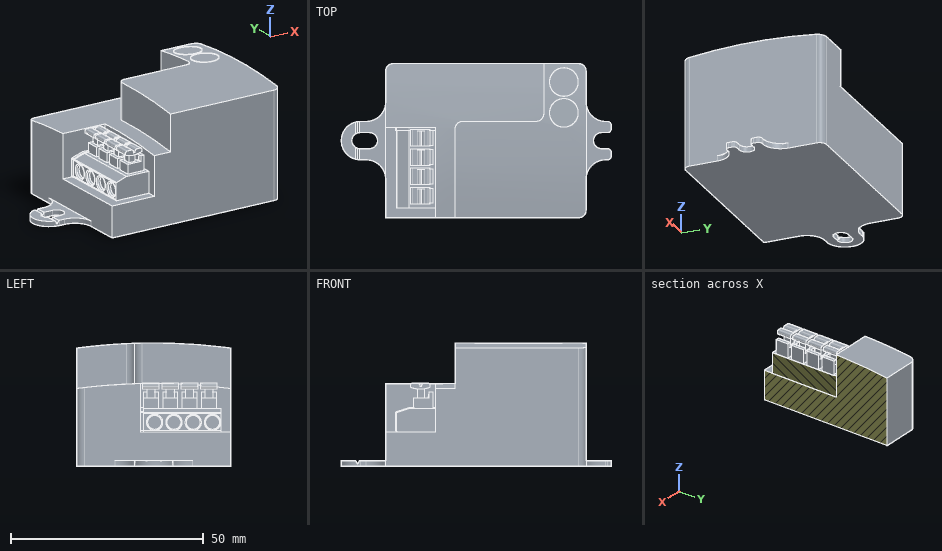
import cadquery as cq
import math


length = 52.0
width = 40.0
apex_height = 32.0
crown_radius = 150.0
corner_radius = 2.0
step_height = 10.5
step_x = 18.0
step_y = 5.0
step_back_x = 41.0
lower_apex_height = apex_height - step_height

recess_diameter = 7.43
recess_x = 46.2
recess_y = 15.2
recess_pitch = 8.0
recess_depth = 0.15
recess_cutter_height = 1.0

tab_thickness = 1.5
tab_half_width = 5.0
tab_root_radius = 5.0
left_tab_reach = 11.5
slot_width = 4.1
slot_length = 6.6
slot_tip_wall = 2.8
groove_width = 1.0
groove_depth = 0.85
groove_from_tip = 4.25
right_tab_reach = 6.5
fork_wall = 1.9
fork_tip_radius = 1.0

pocket_depth_x = 13.0
pocket_floor_z = 8.9
pocket_wall_y = 3.45

block_front_x = 2.8
block_front_height = 13.95
block_top_z = 15.0
block_slope_end_x = 6.1
block_min_y = -17.4
block_max_y = 2.65
face_chamfer = 0.2
undercut_height = 0.4
plate_overhang = 0.2

pole_count = 4
pole_pitch = 5.0
first_hole_y = -0.23
hole_z = 11.4
hole_diameter = 3.6
hole_mouth_diameter = 4.2
hole_depth = 1.0
first_button_y = 0.73

base_width = 3.85
base_start_x = 7.3
base_end_x = 12.3
base_top_z = 17.7
post_start_x = 11.3
post_top_z = 19.25
gusset_reach = 0.3
stem_width = 2.1
stem_start_x = 8.25
stem_end_x = 10.1
cap_width = 4.3
cap_start_x = 6.45
cap_end_x = 11.5
cap_top_z = 21.55
cap_side_bottom_z = 20.5
cap_belly_z = 20.0
cap_edge_radius = 0.5
cap_groove_x = 9.15
cap_groove_gap = 0.4
cap_lip_radius = 0.7
cap_groove_depth = 0.9
cap_groove_end_wall = 0.35


def box(x0, x1, y0, y1, z0, z1):
    return cq.Workplane("XY").box(x1 - x0, y1 - y0, z1 - z0, centered=False).translate((x0, y0, z0))


def crowned_block(apex):
    """Block over the whole housing length whose top is a cylinder along X."""
    half = width / 2
    edge = apex - crown_radius + math.sqrt(crown_radius**2 - half**2)
    return (
        cq.Workplane("YZ")
        .moveTo(-half, 0)
        .lineTo(half, 0)
        .lineTo(half, edge)
        .threePointArc((0, apex), (-half, edge))
        .close()
        .extrude(length)
    )


def round_corner(body, x, y):
    """Round the upright edge of a body nearest to the given plan position."""
    nearest = cq.selectors.NearestToPointSelector((x, y, apex_height / 2))
    return body.edges("|Z").edges(nearest).fillet(corner_radius)


def upper_deck_prism():
    """L-shaped plan of the upper deck."""
    half = width / 2
    plan = [(step_x, -half), (length, -half), (length, half),
            (step_back_x, half), (step_back_x, step_y), (step_x, step_y)]
    prism = cq.Workplane("XY").polyline(plan).close().extrude(apex_height)
    for x in (step_x, step_back_x):
        prism = round_corner(prism, x, step_y)
    return prism


def disc_recess(y):
    """Flat-bottomed recess, square to the crowned top at its centre."""
    tilt = math.asin(y / crown_radius)
    centre_z = apex_height - crown_radius * (1 - math.cos(tilt))
    normal = cq.Vector(0, math.sin(tilt), math.cos(tilt))
    floor = cq.Vector(recess_x, y, centre_z) - normal * recess_depth
    return cq.Solid.makeCylinder(recess_diameter / 2, recess_cutter_height, floor, normal)


def left_tab():
    """Round-ended tab with a slot and a break-off groove across it."""
    tip_centre = tab_half_width - left_tab_reach
    root = tab_half_width + tab_root_radius
    lean = tab_root_radius * math.sqrt(0.5)
    tab = (
        cq.Workplane("XY")
        .moveTo(0, -root)
        .threePointArc((lean - tab_root_radius, -root + lean), (-tab_root_radius, -tab_half_width))
        .lineTo(tip_centre, -tab_half_width)
        .threePointArc((-left_tab_reach, 0), (tip_centre, tab_half_width))
        .lineTo(-tab_root_radius, tab_half_width)
        .threePointArc((lean - tab_root_radius, root - lean), (0, root))
        .close()
        .extrude(tab_thickness)
    )
    slot_centre = -left_tab_reach + slot_tip_wall + slot_length / 2
    tab = tab.cut(
        cq.Workplane("XY").center(slot_centre, 0).slot2D(slot_length, slot_width).extrude(tab_thickness)
    )
    groove_x = -left_tab_reach + groove_from_tip
    groove = (
        cq.Workplane("XZ")
        .polyline([(groove_x - groove_width / 2, tab_thickness),
                   (groove_x, tab_thickness - groove_depth),
                   (groove_x + groove_width / 2, tab_thickness)])
        .close()
        .extrude(tab_half_width, both=True)
    )
    return tab.cut(groove)


def right_tab():
    """Forked tab whose slot is open at the tip."""
    tip = length + right_tab_reach
    root = tab_half_width + tab_root_radius
    lean = tab_root_radius * math.sqrt(0.5)
    root_end = length + tab_root_radius
    tab = (
        cq.Workplane("XY")
        .moveTo(length, -root)
        .threePointArc((root_end - lean, -root + lean), (root_end, -tab_half_width))
        .lineTo(tip, -tab_half_width)
        .lineTo(tip, tab_half_width)
        .lineTo(root_end, tab_half_width)
        .threePointArc((root_end - lean, root - lean), (length, root))
        .close()
        .extrude(tab_thickness)
    )
    slot_end = length + fork_wall + slot_width / 2
    fork = cq.Workplane("XY").center(slot_end, 0).circle(slot_width / 2).extrude(tab_thickness)
    fork = fork.union(box(slot_end, tip, -slot_width / 2, slot_width / 2, 0, tab_thickness))
    return tab.cut(fork).edges("|Z and >X").fillet(fork_tip_radius)


def make_housing():
    lower = crowned_block(lower_apex_height)
    upper = crowned_block(apex_height).intersect(upper_deck_prism())
    body = lower.union(upper)
    half = width / 2
    for x, y in ((0, half), (length, half), (length, -half)):
        body = round_corner(body, x, y)
    for y in (recess_y, recess_y - recess_pitch):
        body = body.cut(cq.Workplane(disc_recess(y)))
    body = body.cut(box(0, pocket_depth_x, -half, pocket_wall_y, pocket_floor_z, lower_apex_height))
    return body.union(left_tab()).union(right_tab())


def block_profile(overhang, y0, y1):
    """Side profile of the terminal block, grown by overhang, from y0 to y1."""
    front = block_front_x - overhang
    shoulder = block_front_height + overhang
    top = block_top_z + overhang
    return (
        cq.Workplane("XZ", origin=(0, y1, 0))
        .moveTo(front + face_chamfer, pocket_floor_z)
        .lineTo(pocket_depth_x, pocket_floor_z)
        .lineTo(pocket_depth_x, top)
        .lineTo(block_slope_end_x, top)
        .lineTo(front + face_chamfer, shoulder)
        .lineTo(front, shoulder - face_chamfer)
        .lineTo(front, pocket_floor_z + undercut_height)
        .close()
        .extrude(y1 - y0)
    )


def wire_hole(y):
    """Blind wire hole with a countersunk mouth."""
    mouth_depth = (hole_mouth_diameter - hole_diameter) / 2
    return (
        cq.Workplane("XY")
        .polyline([(0, 0), (0, hole_mouth_diameter / 2), (mouth_depth, hole_diameter / 2),
                   (hole_depth, hole_diameter / 2), (hole_depth, 0)])
        .close()
        .revolve(360, (0, 0, 0), (1, 0, 0))
        .translate((block_front_x, y, hole_z))
    )


def button_cap():
    """Cap centred on Y = 0 with a bellied underside and a grip groove."""
    middle = (cap_start_x + cap_end_x) / 2
    cap = (
        cq.Workplane("XZ", origin=(0, cap_width / 2, 0))
        .moveTo(cap_start_x, cap_top_z)
        .lineTo(cap_start_x, cap_side_bottom_z)
        .threePointArc((middle, cap_belly_z), (cap_end_x, cap_side_bottom_z))
        .lineTo(cap_end_x, cap_top_z)
        .close()
        .extrude(cap_width)
        .edges("|Y and >Z")
        .fillet(cap_edge_radius)
    )
    inner = cap_groove_gap / 2
    outer = inner + cap_lip_radius
    lip_base = cap_top_z - cap_lip_radius
    lean = cap_lip_radius * math.sqrt(0.5)
    groove_bottom = cap_top_z - cap_groove_depth
    groove = (
        cq.Workplane("XZ", origin=(cap_groove_x, cap_width / 2 - cap_groove_end_wall, 0))
        .moveTo(-inner, groove_bottom)
        .lineTo(inner, groove_bottom)
        .lineTo(inner, lip_base)
        .threePointArc((outer - lean, lip_base + lean), (outer, cap_top_z))
        .lineTo(-outer, cap_top_z)
        .threePointArc((lean - outer, lip_base + lean), (-inner, lip_base))
        .close()
        .extrude(cap_width)
    )
    return cap.cut(groove)


def push_button(y):
    """Base with a rear post, stem and cap, centred on the given Y."""
    half_base = base_width / 2
    half_stem = stem_width / 2
    base = box(base_start_x, base_end_x, -half_base, half_base, block_top_z, base_top_z)
    post = box(post_start_x, base_end_x, -half_base, half_base, base_top_z, post_top_z)
    stem = box(stem_start_x, stem_end_x, -half_stem, half_stem, base_top_z, cap_side_bottom_z)
    gusset = (
        cq.Workplane("XZ", origin=(0, half_stem, 0))
        .polyline([(post_start_x - gusset_reach, base_top_z), (post_start_x, base_top_z),
                   (post_start_x, post_top_z)])
        .close()
        .extrude(stem_width)
    )
    return base.union(post).union(gusset).union(stem).union(button_cap()).translate((0, y, 0))


def make_terminal_block():
    block = block_profile(0, block_min_y, block_max_y)
    block = block.union(block_profile(plate_overhang, block_max_y, pocket_wall_y))
    for pole in range(pole_count):
        offset = -pole * pole_pitch
        block = block.cut(wire_hole(first_hole_y + offset))
        block = block.union(push_button(first_button_y + offset))
    return block


housing = make_housing()
terminal_block = make_terminal_block()

result = cq.Compound.makeCompound([housing.val(), terminal_block.val()])